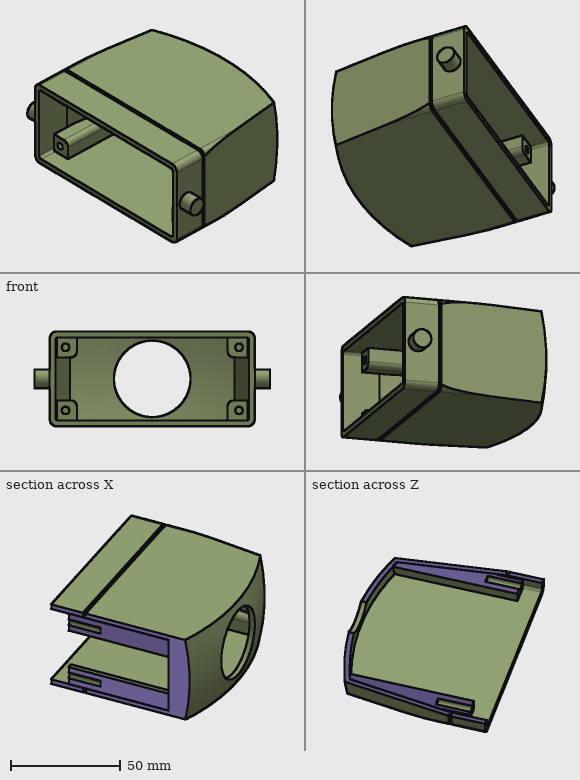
import cadquery as cq
import math

width = 94.0
height = 43.5
wall = 2.7
corner_radius = 3.2
cavity_width = width - 2 * wall
cavity_height = height - 2 * wall
cavity_radius = 1.3

frame_depth = 16.3
groove_depth = 1.3
groove_cut = 1.0
hood_start = frame_depth + groove_depth
hood_end = 76.4

taper_inset = 6.4
taper_run = 49.2
side_slope = taper_inset / taper_run
dome_radius = 112.3
entry_radius = 35.0 / 2
dome_center_y = hood_end - math.sqrt(dome_radius**2 - entry_radius**2)
dome_apex = dome_center_y + dome_radius
inner_dome_radius = dome_radius - wall

boss_start = 9.0
boss_inner_x = 34.6
boss_outer_x = 43.7
boss_inner_z = 9.8
boss_fillet = 2.8
screw_x = 39.7
screw_z = 14.5
screw_diameter = 3.5
screw_depth = 16.2

pin_diameter = 8.6
pin_y = 6.0
pin_tip_x = 54.0


def rounded_bar(size_x, size_z, radius, start, end):
    """Rounded rectangular bar along Y, centred on the Y axis."""
    bar = cq.Workplane("XZ", origin=(0, start, 0)).rect(size_x, size_z).extrude(start - end)
    return bar.edges("|Y").fillet(radius)


def y_cylinder(x, z, diameter, start, end):
    """Cylinder along Y."""
    return cq.Workplane("XZ", origin=(x, start, z)).circle(diameter / 2).extrude(start - end)


def tapered_envelope(half_width, sphere_radius):
    """Space between the tapered sides and below the domed back."""
    run = dome_apex - hood_start
    half_end_width = half_width - side_slope * run
    wedge = (
        cq.Workplane("XY", origin=(0, 0, -height))
        .moveTo(-half_width, hood_start)
        .lineTo(half_width, hood_start)
        .lineTo(half_end_width, dome_apex)
        .lineTo(-half_end_width, dome_apex)
        .close()
        .extrude(2 * height)
    )
    dome = cq.Workplane("XY").sphere(sphere_radius).translate((0, dome_center_y, 0))
    return wedge.intersect(dome)


def make_cavity():
    """Straight opening followed by a space parallel to the hood's sides and back."""
    opening = rounded_bar(cavity_width, cavity_height, cavity_radius, 0, hood_start)
    space = rounded_bar(cavity_width, cavity_height, cavity_radius, hood_start, dome_apex)
    side_wall = wall * math.hypot(1, side_slope)
    space = space.intersect(tapered_envelope(width / 2 - side_wall, inner_dome_radius))
    return opening.union(space)


def make_pin(side):
    """Locking pin standing on one end face of the frame."""
    length = pin_tip_x - width / 2
    pin = cq.Workplane("YZ", origin=(side * width / 2, pin_y, 0))
    return pin.circle(pin_diameter / 2).extrude(side * length)


def make_housing(cavity):
    """Grooved frame and domed hood in one shell, with locking pins and a cable entry."""
    frame = rounded_bar(width, height, corner_radius, 0, frame_depth)
    groove_width = width - 2 * groove_cut
    groove_height = height - 2 * groove_cut
    neck = rounded_bar(groove_width, groove_height, corner_radius, frame_depth, hood_start)
    hood = rounded_bar(width, height, corner_radius, hood_start, dome_apex)
    hood = hood.intersect(tapered_envelope(width / 2, dome_radius))
    entry = y_cylinder(0, 0, 2 * entry_radius, hood_start, dome_apex)
    shell = frame.union(neck).union(hood).cut(cavity).cut(entry)
    for side in (-1, 1):
        shell = shell.union(make_pin(side))
    return shell


def make_boss(side_x, side_z, cavity):
    """Long corner boss, rounded on its inward edge, ending against the housing walls."""
    size_x = boss_outer_x - boss_inner_x
    size_z = cavity_height / 2 - boss_inner_z
    center_x = side_x * (boss_inner_x + boss_outer_x) / 2
    center_z = side_z * (boss_inner_z + cavity_height / 2) / 2
    inward_edge = ("<X" if side_x > 0 else ">X", "<Z" if side_z > 0 else ">Z")
    bar = (
        cq.Workplane("XZ", origin=(center_x, boss_start, center_z))
        .rect(size_x, size_z)
        .extrude(boss_start - dome_apex)
        .faces(inward_edge[0])
        .edges(inward_edge[1])
        .fillet(boss_fillet)
    )
    screw_end = boss_start + screw_depth
    hole = y_cylinder(side_x * screw_x, side_z * screw_z, screw_diameter, boss_start, screw_end)
    return bar.intersect(cavity).cut(hole)


cavity = make_cavity()
housing = make_housing(cavity)
bosses = [make_boss(side_x, side_z, cavity) for side_x in (-1, 1) for side_z in (-1, 1)]

boss_solids = [boss.solids().val() for boss in bosses]
result = cq.Compound.makeCompound([housing.solids().val(), *boss_solids])